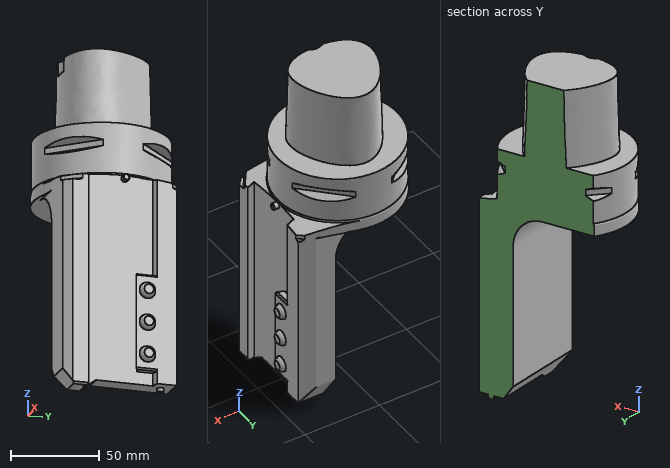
import cadquery as cq
import math

SHANK_LENGTH = 48.0
SHANK_BASE_DIAMETER = 55.0
SHANK_TAPER = 1 / 20
SHANK_TOP_DIAMETER = SHANK_BASE_DIAMETER - SHANK_TAPER * SHANK_LENGTH
LOBE_ECCENTRICITY = 2.0
CURVE_POINTS = 36

NOTCH_WIDTH = 10.0
NOTCH_DEPTH = 2.0
NOTCH_HEIGHT = 8.5

FLANGE_RADIUS = 40.0
FLANGE_BOTTOM = -30.0
COLLAR_RADIUS = 40.395
COLLAR_TOP = -31.2
COLLAR_BOTTOM = -38.0

GRIP_COUNT = 4
GRIP_FIRST_ANGLE = 45.0
GRIP_Z = -12.0
GRIP_FLOOR_DISTANCE = 35.5
GRIP_FLOOR_HEIGHT = 3.6
GRIP_FLANK_ANGLE = 30.0

BLADE_BACK_X = 21.8
BLADE_FRONT_X = 45.4
BLADE_LEFT_Y = -37.3
BLADE_RIGHT_Y = 32.4
BLADE_BOTTOM = -160.0
BACK_FILLET = 20.0
BACK_BEVEL = (10.2, 14.5)
SIDE_SLOPE_ANGLE = 15.0
SHOULDER_SLOPE_ANGLE = 15.0
SIDE_BLEND_RADIUS = 35.0
FRONT_CHAMFER = (4.2, 4.7)

FOOT_START_Y = -24.0
FOOT_RISE_END_Y = -17.0
RAISED_BOTTOM = -155.0
LEFT_BOTTOM_CHAMFER = (5.5, 9.6)
RIGHT_BOTTOM_CHAMFER = (2.9, 9.4)
TOE_CHAMFER = 1.2

RELIEF_BOTTOM = COLLAR_BOTTOM
RELIEF_FOOT = 1.0
LEFT_RELIEF = (7.6, 10.5)
RIGHT_RELIEF = (2.6, 2.4)

SLOT_FLOOR_X = COLLAR_RADIUS
SLOT_FLOOR_Y = (-24.7, 16.9)
SLOT_MOUTH_Y = (-23.3, 18.0)

CLAMP_LENGTH = 57.0
CLAMP_Z = -119.0
CLAMP_INNER_Y = 7.5
CLAMP_LIP_Y = 5.4
CLAMP_END_CHAMFER = 1.0
SCREW_Y = 12.0
SCREW_PITCH = 19.0
SCREW_COUNT = 3
HEAD_DIAMETER = 9.5
HEAD_TOP_DIAMETER = 5.6
HEAD_HEIGHT = 2.955
HEAD_BULGE = 0.45

PIN_DIAMETER = 4.0
PIN_END_CHAMFER = 0.4
STOP_PIN_LENGTH = 3.5
STOP_PIN_Z = -33.1
PLUG_X = 37.0
PLUG_Y = 22.6
PLUG_LENGTH = 2.4

OVERLAP = 1.0
CLEARANCE = 20.0


def lobed_wire(diameter, z):
    """Closed trochoid outline with one lobe pointing to +Y."""

    def point(t):
        angle = 2 * math.pi * t
        along = diameter / 2 * math.cos(angle) + LOBE_ECCENTRICITY * math.cos(2 * angle)
        across = LOBE_ECCENTRICITY * math.sin(2 * angle) - diameter / 2 * math.sin(angle)
        return (across, along, z)

    points = [cq.Vector(*point(i / CURVE_POINTS)) for i in range(CURVE_POINTS)]
    return cq.Wire.assembleEdges([cq.Edge.makeSpline(points, periodic=True)])


def make_shank():
    base = lobed_wire(SHANK_BASE_DIAMETER, 0)
    top = lobed_wire(SHANK_TOP_DIAMETER, SHANK_LENGTH)
    shank = cq.Workplane(cq.Solid.makeLoft([base, top], True))
    flat_y = -(SHANK_TOP_DIAMETER / 2 - LOBE_ECCENTRICITY)
    notch_radius = ((NOTCH_WIDTH / 2) ** 2 + NOTCH_DEPTH**2) / (2 * NOTCH_DEPTH)
    notch = (
        cq.Workplane("XY", origin=(0, flat_y + NOTCH_DEPTH - notch_radius, SHANK_LENGTH))
        .circle(notch_radius)
        .extrude(-NOTCH_HEIGHT)
    )
    return shank.cut(notch)


def make_flange():
    flange = (
        cq.Workplane("XZ")
        .moveTo(0, 0)
        .lineTo(FLANGE_RADIUS, 0)
        .lineTo(FLANGE_RADIUS, FLANGE_BOTTOM)
        .lineTo(COLLAR_RADIUS, COLLAR_TOP)
        .lineTo(COLLAR_RADIUS, COLLAR_BOTTOM)
        .lineTo(0, COLLAR_BOTTOM)
        .close()
        .revolve(360, (0, 0), (0, 1))
    )
    depth = FLANGE_RADIUS + OVERLAP - GRIP_FLOOR_DISTANCE
    floor_half = GRIP_FLOOR_HEIGHT / 2
    mouth_half = floor_half + depth * math.tan(math.radians(GRIP_FLANK_ANGLE))
    groove = (
        cq.Workplane("XZ", origin=(GRIP_FLOOR_DISTANCE, 0, GRIP_Z))
        .moveTo(0, -floor_half)
        .lineTo(depth, -mouth_half)
        .lineTo(depth, mouth_half)
        .lineTo(0, floor_half)
        .close()
        .extrude(FLANGE_RADIUS, both=True)
    )
    for i in range(GRIP_COUNT):
        angle = GRIP_FIRST_ANGLE + 360 / GRIP_COUNT * i
        flange = flange.cut(groove.rotate((0, 0, 0), (0, 0, 1), angle))
    return flange


def slope_y(x):
    """Y of the sloping +Y side, a line tangent to the collar."""
    slope = math.radians(SIDE_SLOPE_ANGLE)
    return COLLAR_RADIUS / math.cos(slope) - x * math.tan(slope)


def plan_outline():
    """Plan of the shoulder: tangent slope at +Y, flat at -Y blended into the collar."""
    slope = math.radians(SIDE_SLOPE_ANGLE)
    tangent = (COLLAR_RADIUS * math.sin(slope), COLLAR_RADIUS * math.cos(slope))
    reach = COLLAR_RADIUS + SIDE_BLEND_RADIUS
    blend_y = BLADE_LEFT_Y - SIDE_BLEND_RADIUS
    blend_x = math.sqrt(reach**2 - blend_y**2)
    start_angle = math.atan2(-blend_y, -blend_x)
    middle_angle = (start_angle + math.pi / 2) / 2
    blend_start = (
        blend_x + SIDE_BLEND_RADIUS * math.cos(start_angle),
        blend_y + SIDE_BLEND_RADIUS * math.sin(start_angle),
    )
    blend_middle = (
        blend_x + SIDE_BLEND_RADIUS * math.cos(middle_angle),
        blend_y + SIDE_BLEND_RADIUS * math.sin(middle_angle),
    )
    chamfer_x, chamfer_y = FRONT_CHAMFER
    return (
        cq.Workplane("XY")
        .moveTo(0, 0)
        .lineTo(*tangent)
        .lineTo(BLADE_FRONT_X, slope_y(BLADE_FRONT_X))
        .lineTo(BLADE_FRONT_X, BLADE_LEFT_Y + chamfer_y)
        .lineTo(BLADE_FRONT_X - chamfer_x, BLADE_LEFT_Y)
        .lineTo(blend_x, BLADE_LEFT_Y)
        .threePointArc(blend_middle, blend_start)
        .close()
    )


def corner_relief(corner, size, side):
    """Cutter that removes a front corner of the shoulder above RELIEF_BOTTOM.

    size is the (X, Y) extent of the cut; side is +1 for the +Y corner, -1 for the -Y one.
    """
    along_x, along_y = size
    length = math.hypot(along_x, along_y)
    outward = cq.Vector(along_y, side * along_x, 0)
    edge = cq.Vector(along_x, -side * along_y, 0)
    middle = (corner[0] - along_x / 2, corner[1] - side * along_y / 2, RELIEF_BOTTOM)
    plane = cq.Plane(origin=middle, xDir=outward.toTuple(), normal=edge.toTuple())
    up = plane.yDir.z
    return (
        cq.Workplane(plane)
        .moveTo(0, up * CLEARANCE)
        .lineTo(0, up * RELIEF_FOOT)
        .lineTo(RELIEF_FOOT, 0)
        .lineTo(CLEARANCE, 0)
        .lineTo(CLEARANCE, up * CLEARANCE)
        .close()
        .extrude(length, both=True)
    )


def make_shoulder():
    shoulder = plan_outline().extrude(COLLAR_TOP - COLLAR_BOTTOM)
    shoulder = shoulder.translate((0, 0, COLLAR_BOTTOM))
    outer = 2 * BLADE_FRONT_X
    drop = (outer - COLLAR_RADIUS) * math.tan(math.radians(SHOULDER_SLOPE_ANGLE))
    cone = (
        cq.Workplane("XZ")
        .moveTo(0, COLLAR_TOP)
        .lineTo(COLLAR_RADIUS, COLLAR_TOP)
        .lineTo(outer, COLLAR_TOP - drop)
        .lineTo(outer, BLADE_BOTTOM)
        .lineTo(0, BLADE_BOTTOM)
        .close()
        .revolve(360, (0, 0), (0, 1))
    )
    shoulder = shoulder.intersect(cone)
    left_corner = (BLADE_FRONT_X, BLADE_LEFT_Y)
    right_corner = (BLADE_FRONT_X, slope_y(BLADE_FRONT_X))
    shoulder = shoulder.cut(corner_relief(left_corner, LEFT_RELIEF, -1))
    return shoulder.cut(corner_relief(right_corner, RIGHT_RELIEF, 1))


def make_blade():
    """Side profile, front profile and plan intersected with each other."""
    bevel_x, bevel_z = BACK_BEVEL
    fillet_x = BLADE_BACK_X - BACK_FILLET
    fillet_z = COLLAR_BOTTOM - BACK_FILLET
    diagonal = BACK_FILLET * math.sqrt(0.5)
    side = (
        cq.Workplane("XZ")
        .moveTo(fillet_x, COLLAR_BOTTOM)
        .threePointArc((fillet_x + diagonal, fillet_z + diagonal), (BLADE_BACK_X, fillet_z))
        .lineTo(BLADE_BACK_X, BLADE_BOTTOM + bevel_z)
        .lineTo(BLADE_BACK_X + bevel_x, BLADE_BOTTOM)
        .lineTo(BLADE_FRONT_X - TOE_CHAMFER, BLADE_BOTTOM)
        .lineTo(BLADE_FRONT_X, BLADE_BOTTOM + TOE_CHAMFER)
        .lineTo(BLADE_FRONT_X, COLLAR_BOTTOM)
        .close()
        .extrude(2 * COLLAR_RADIUS, both=True)
    )
    left_y, left_z = LEFT_BOTTOM_CHAMFER
    right_y, right_z = RIGHT_BOTTOM_CHAMFER
    front = (
        cq.Workplane("YZ")
        .moveTo(BLADE_LEFT_Y, COLLAR_BOTTOM)
        .lineTo(BLADE_LEFT_Y, BLADE_BOTTOM + left_z)
        .lineTo(BLADE_LEFT_Y + left_y, BLADE_BOTTOM)
        .lineTo(FOOT_START_Y, BLADE_BOTTOM)
        .lineTo(FOOT_RISE_END_Y, RAISED_BOTTOM)
        .lineTo(BLADE_RIGHT_Y - right_y, RAISED_BOTTOM)
        .lineTo(BLADE_RIGHT_Y, RAISED_BOTTOM + right_z)
        .lineTo(BLADE_RIGHT_Y, COLLAR_BOTTOM)
        .close()
        .extrude(BLADE_FRONT_X)
    )
    chamfer_x, chamfer_y = FRONT_CHAMFER
    plan = (
        cq.Workplane("XY", origin=(0, 0, BLADE_BOTTOM))
        .moveTo(0, BLADE_LEFT_Y)
        .lineTo(BLADE_FRONT_X - chamfer_x, BLADE_LEFT_Y)
        .lineTo(BLADE_FRONT_X, BLADE_LEFT_Y + chamfer_y)
        .lineTo(BLADE_FRONT_X, slope_y(BLADE_FRONT_X))
        .lineTo(0, slope_y(0))
        .close()
        .extrude(COLLAR_BOTTOM - BLADE_BOTTOM)
    )
    return side.intersect(front).intersect(plan)


def make_slot():
    return (
        cq.Workplane("XY", origin=(0, 0, BLADE_BOTTOM))
        .moveTo(SLOT_FLOOR_X, SLOT_FLOOR_Y[0])
        .lineTo(BLADE_FRONT_X, SLOT_MOUTH_Y[0])
        .lineTo(BLADE_FRONT_X, SLOT_MOUTH_Y[1])
        .lineTo(SLOT_FLOOR_X, SLOT_FLOOR_Y[1])
        .close()
        .extrude(COLLAR_TOP - BLADE_BOTTOM)
    )


def make_clamp():
    bar = (
        cq.Workplane("XY", origin=(0, 0, CLAMP_Z))
        .moveTo(SLOT_FLOOR_X, CLAMP_INNER_Y)
        .lineTo(BLADE_FRONT_X, CLAMP_LIP_Y)
        .lineTo(BLADE_FRONT_X, SLOT_MOUTH_Y[1])
        .lineTo(SLOT_FLOOR_X, SLOT_FLOOR_Y[1])
        .close()
        .extrude(CLAMP_LENGTH / 2, both=True)
        .faces(">X")
        .edges("|Y")
        .chamfer(CLAMP_END_CHAMFER)
    )
    head_middle_radius = (HEAD_DIAMETER + HEAD_TOP_DIAMETER) / 4 + HEAD_BULGE
    for i in range(SCREW_COUNT):
        z = CLAMP_Z + SCREW_PITCH * (i - (SCREW_COUNT - 1) / 2)
        head = (
            cq.Workplane("XY", origin=(BLADE_FRONT_X, SCREW_Y, z))
            .moveTo(-OVERLAP, 0)
            .lineTo(-OVERLAP, HEAD_DIAMETER / 2)
            .lineTo(0, HEAD_DIAMETER / 2)
            .threePointArc((HEAD_HEIGHT / 2, head_middle_radius), (HEAD_HEIGHT, HEAD_TOP_DIAMETER / 2))
            .lineTo(HEAD_HEIGHT, 0)
            .close()
            .revolve(360, (0, 0), (1, 0))
        )
        bar = bar.union(head)
    return bar


def make_stop_pin():
    return (
        cq.Workplane("YZ", origin=(SLOT_FLOOR_X - OVERLAP, 0, STOP_PIN_Z))
        .circle(PIN_DIAMETER / 2)
        .extrude(STOP_PIN_LENGTH + OVERLAP)
        .faces(">X")
        .chamfer(PIN_END_CHAMFER)
    )


def make_plug():
    return (
        cq.Workplane("XY", origin=(PLUG_X, PLUG_Y, RAISED_BOTTOM + OVERLAP))
        .circle(PIN_DIAMETER / 2)
        .extrude(-PLUG_LENGTH - OVERLAP)
        .faces("<Z")
        .chamfer(PIN_END_CHAMFER)
    )


holder = make_shoulder().union(make_blade()).cut(make_slot())
result = make_flange().union(make_shank()).union(holder)
result = result.union(make_clamp()).union(make_stop_pin()).union(make_plug())